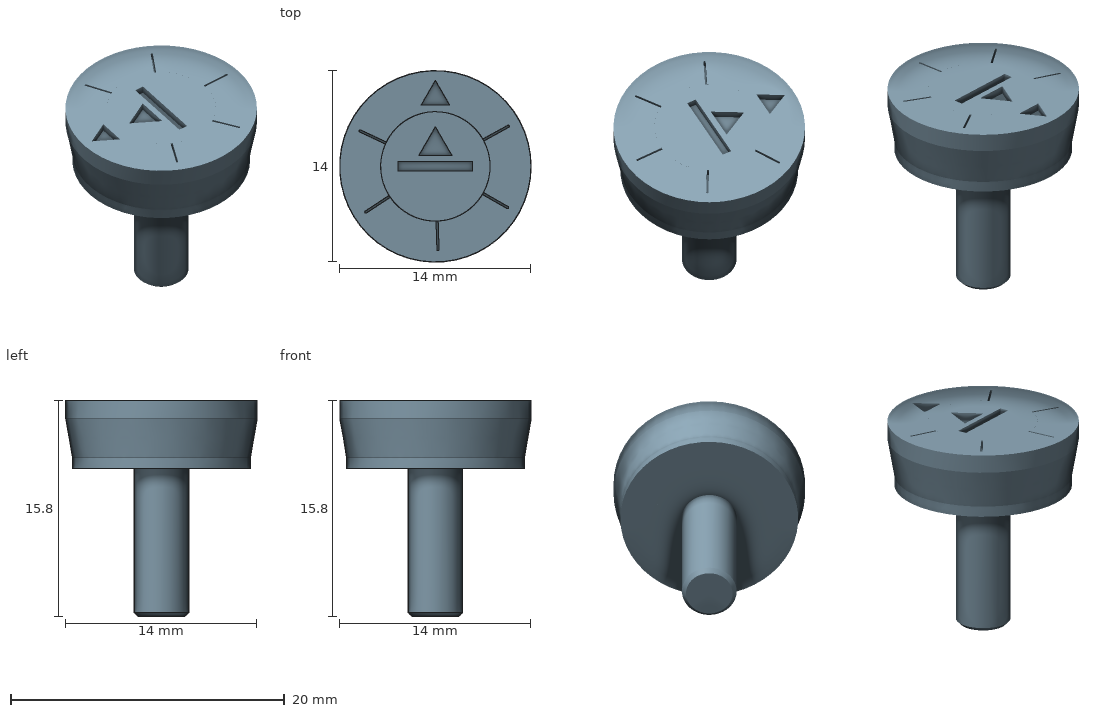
import cadquery as cq
import math

total_height = 15.8
ring_height = 5.0
rim_height = 1.35
foot_height = 0.8
taper_height = ring_height - rim_height - foot_height

rim_diameter = 14.0
foot_diameter = 13.0
dial_diameter = 8.0
shank_diameter = 4.0
shank_chamfer = 0.3

recess_depth = 0.6
ring_arrow_side = 2.08
ring_arrow_tip = 6.28
dial_arrow_side = 2.43
dial_arrow_tip = 2.89
driver_slot_length = 5.45
driver_slot_width = 0.7

mark_count = 5
mark_first_angle = 28.8
mark_pitch_angle = 58.5
mark_outer_radius = 6.16
mark_width = 0.16


def arrow_recess(side, tip_y):
    """Equilateral triangle pointing to +Y, sunk into the top face."""
    base_y = tip_y - side * math.sqrt(3) / 2
    corners = [(-side / 2, base_y), (side / 2, base_y), (0, tip_y)]
    return cq.Workplane("XY").polyline(corners).close().extrude(-recess_depth)


def division_mark(angle):
    """Radial groove with round ends, open to the bore of the ring."""
    inner_tip_radius = dial_diameter / 2 - mark_width / 2
    length = mark_outer_radius - inner_tip_radius
    return (
        cq.Workplane("XY")
        .center(inner_tip_radius + length / 2, 0)
        .slot2D(length, mark_width)
        .extrude(-recess_depth)
        .rotate((0, 0, 0), (0, 0, 1), angle)
    )


def make_ring():
    """Outer ring: straight rim, tapered middle, straight foot and a through bore."""
    bore_radius = dial_diameter / 2
    rim_radius = rim_diameter / 2
    foot_radius = foot_diameter / 2
    profile = [
        (bore_radius, 0),
        (rim_radius, 0),
        (rim_radius, -rim_height),
        (foot_radius, -rim_height - taper_height),
        (foot_radius, -ring_height),
        (bore_radius, -ring_height),
    ]
    body = cq.Workplane("XZ").polyline(profile).close().revolve(360, (0, 0), (0, 1))
    body = body.cut(arrow_recess(ring_arrow_side, ring_arrow_tip))
    for index in range(mark_count):
        body = body.cut(division_mark(mark_first_angle - index * mark_pitch_angle))
    return body


def make_dial():
    """Dial that fills the bore, with its shank, pointer arrow and driver slot."""
    head = cq.Workplane("XY").circle(dial_diameter / 2).extrude(-ring_height)
    shank = (
        cq.Workplane("XY")
        .circle(shank_diameter / 2)
        .extrude(-total_height)
        .faces("<Z")
        .chamfer(shank_chamfer)
    )
    driver_slot = (
        cq.Workplane("XY")
        .rect(driver_slot_length, driver_slot_width)
        .extrude(-recess_depth)
    )
    pointer = arrow_recess(dial_arrow_side, dial_arrow_tip)
    return head.union(shank).cut(driver_slot).cut(pointer)


ring = make_ring()
dial = make_dial()

result = cq.Compound.makeCompound([ring.val(), dial.val()])